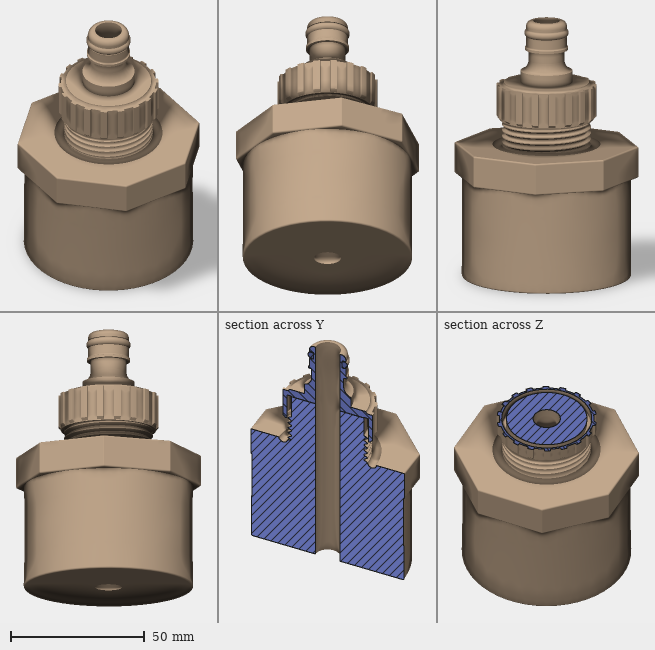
import cadquery as cq
import math

total_height = 97.6
hex_bottom = 38.35
hex_top = 50.3
cap_bottom = 60.2
cap_shoulder = 73.3
cap_top = 74.2
neck_flare_top = 82.5
flange_bottom = 86.65
flange_fillet_top = 88.2
ring_height = 93.1

bore_radius = 5.0

barrel_bottom_radius = 31.7
barrel_top_radius = 31.55
octagon_width = 64.0
edge_round = 0.6
barrel_edge_round = 0.6
octagon_sides = 8
moat_outer_radius = 20.2
moat_inner_radius = 16.65
thread_major_radius = 33.25 / 2
thread_minor_radius = 30.29 / 2
thread_pitch = 2.309
thread_turns = 6
thread_start_height = 48.96
thread_crest_width = 0.35
thread_root_width = 2.1
thread_root_overlap = 0.1
moat_radius = (moat_outer_radius - moat_inner_radius) / 2
moat_centre_radius = (moat_outer_radius + moat_inner_radius) / 2

cap_radius = 17.75
cap_bore_radius = 16.75
cap_roof_thickness = 3.2
spigot_top = cap_top - cap_roof_thickness
crown_radius = 15.95
rib_count = 18
rib_radius = 18.7
rib_width = 2.52
rib_chamfer = 1.2
rib_start_angle = 1.0
rib_overrun = 0.5
base_radius = 19.5 / 2
neck_radius = 13.5 / 2
neck_flare_radius = 4.0
flange_radius = 16.25 / 2
flange_fillet = 0.6
tube_radius = 15.3 / 2
tip_round = 2.0

ring_outer_radius = 16.6 / 2
ring_section_radius = 1.5
ring_centre_radius = ring_outer_radius - ring_section_radius
groove_width = 2 * ring_section_radius
groove_floor_radius = 6.0


def cylinder(radius, bottom, top):
    """Upright cylinder on the Z axis between two heights."""
    return cq.Workplane("XY").workplane(offset=bottom).circle(radius).extrude(top - bottom)


def torus(centre_radius, section_radius, height):
    """Ring of circular section around the Z axis."""
    return (
        cq.Workplane("XZ")
        .center(centre_radius, height)
        .circle(section_radius)
        .revolve(360, (-centre_radius, 0, 0), (-centre_radius, 1, 0))
    )


def make_thread():
    """Right-handed thread ridge whose root is sunk slightly into the spigot."""
    root_radius = thread_minor_radius - thread_root_overlap
    helix = cq.Wire.makeHelix(thread_pitch, thread_pitch * thread_turns, root_radius)
    profile = (
        cq.Workplane("XZ")
        .moveTo(root_radius, -thread_root_width / 2)
        .lineTo(thread_major_radius, -thread_crest_width / 2)
        .lineTo(thread_major_radius, thread_crest_width / 2)
        .lineTo(root_radius, thread_root_width / 2)
        .close()
    )
    ridge = profile.sweep(cq.Workplane(helix), isFrenet=True)
    return ridge.translate((0, 0, thread_start_height))


def make_housing():
    """Slightly tapered barrel, octagon with a round-bottomed moat, and the threaded spigot."""
    barrel = (
        cq.Workplane("YZ")
        .lineTo(barrel_bottom_radius, 0)
        .lineTo(barrel_top_radius, hex_bottom)
        .lineTo(0, hex_bottom)
        .close()
        .revolve(360, (0, 0, 0), (0, 1, 0))
        .faces("<Z")
        .edges()
        .fillet(barrel_edge_round)
    )
    across_corners = octagon_width / math.cos(math.pi / octagon_sides)
    octagon = (
        cq.Workplane("XY")
        .workplane(offset=hex_bottom)
        .transformed(rotate=(0, 0, 180 / octagon_sides))
        .polygon(octagon_sides, across_corners)
        .extrude(hex_top - hex_bottom)
        .edges()
        .fillet(edge_round)
    )
    moat = torus(moat_centre_radius, moat_radius, hex_top)
    spigot = cylinder(thread_minor_radius, hex_bottom, spigot_top)
    housing = barrel.union(octagon).cut(moat).union(spigot).union(make_thread())
    return housing.cut(cylinder(bore_radius, 0, total_height))


def make_cap():
    """Hollow ribbed cap; over-long rib blanks are trimmed by a chamfered disc."""
    rib_blank_length = 2 * (rib_radius + rib_overrun - cap_bore_radius)
    cap = cylinder(cap_radius, cap_bottom, cap_shoulder)
    ribs = (
        cq.Workplane("XY")
        .workplane(offset=cap_bottom)
        .polarArray(cap_bore_radius, rib_start_angle, 360, rib_count)
        .rect(rib_blank_length, rib_width)
        .extrude(cap_shoulder - cap_bottom)
    )
    rib_limit = cylinder(rib_radius, cap_bottom, cap_shoulder).faces("<Z").edges().chamfer(rib_chamfer)
    crown_fillet = cap_top - cap_shoulder
    crown = cylinder(crown_radius + crown_fillet, cap_shoulder, cap_top).cut(
        torus(crown_radius + crown_fillet, crown_fillet, cap_top)
    )
    cap = cap.union(ribs.intersect(rib_limit)).union(crown)
    return cap.cut(cylinder(cap_bore_radius, cap_bottom, spigot_top))


def flare_foot(top_radius, flare_radius, foot_radius, top_height):
    """Height at which a concave flare, tangent to a cylinder at its top, reaches foot_radius."""
    remaining = flare_radius - (foot_radius - top_radius)
    return top_height - math.sqrt(flare_radius**2 - remaining**2)


def make_nipple():
    """Turned hose nipple with a flared neck, a thin flange and the O-ring groove."""
    neck_foot = flare_foot(neck_radius, neck_flare_radius, base_radius, neck_flare_top)
    flange_top = flare_foot(tube_radius, flange_fillet, flange_radius, flange_fillet_top)
    nipple = (
        cq.Workplane("XZ")
        .moveTo(0, spigot_top)
        .lineTo(base_radius, spigot_top)
        .lineTo(base_radius, neck_foot)
        .radiusArc((neck_radius, neck_flare_top), neck_flare_radius)
        .lineTo(neck_radius, flange_bottom)
        .lineTo(flange_radius, flange_bottom)
        .lineTo(flange_radius, flange_top)
        .radiusArc((tube_radius, flange_fillet_top), flange_fillet)
        .lineTo(tube_radius, total_height - tip_round)
        .radiusArc((tube_radius - tip_round, total_height), -tip_round)
        .lineTo(0, total_height)
        .close()
        .revolve(360, (0, 0, 0), (0, 1, 0))
    )
    groove_bottom = ring_height - groove_width / 2
    groove_top = ring_height + groove_width / 2
    groove = cylinder(flange_radius, groove_bottom, groove_top).cut(
        cylinder(groove_floor_radius, groove_bottom, groove_top)
    )
    return nipple.cut(groove)


def make_ring():
    """Round-section ring flattened on the inside where it sits on the groove floor."""
    flat_half_height = math.sqrt(ring_section_radius**2 - (ring_centre_radius - groove_floor_radius) ** 2)
    return (
        cq.Workplane("XZ")
        .moveTo(groove_floor_radius, ring_height - flat_half_height)
        .threePointArc(
            (ring_outer_radius, ring_height),
            (groove_floor_radius, ring_height + flat_half_height),
        )
        .close()
        .revolve(360, (0, 0, 0), (0, 1, 0))
    )


housing = make_housing()
connector = make_cap().union(make_nipple()).cut(cylinder(bore_radius, 0, total_height))
ring = make_ring()

result = cq.Compound.makeCompound([housing.val(), connector.val(), ring.val()])